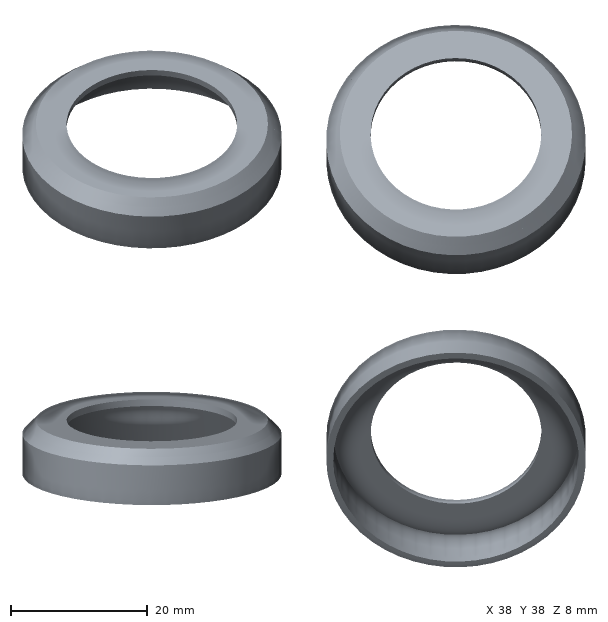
import cadquery as cq

outer_diameter = 38.0
skirt_bore_diameter = 36.0
opening_diameter = 25.0
total_height = 8.0
plate_thickness = 1.0

outer_radius = outer_diameter / 2
bore_radius = skirt_bore_diameter / 2
opening_radius = opening_diameter / 2

skirt_height = total_height - plate_thickness
skirt_wall = outer_radius - bore_radius

bevel_start_height = skirt_height - skirt_wall
plate_top_radius = bore_radius - plate_thickness


def revolve_about_z(profile):
    """Turn a closed (radius, height) outline around the Z axis."""
    return cq.Workplane("XZ").polyline(profile).close().revolve(360, (0, 0, 0), (0, 1, 0))


def make_skirt():
    """Thin straight tube whose bevel takes the whole wall, leaving a sharp top edge at the bore."""
    return revolve_about_z([
        (bore_radius, 0),
        (outer_radius, 0),
        (outer_radius, bevel_start_height),
        (bore_radius, skirt_height),
    ])


def make_plate():
    """Flat washer resting on the sharp edge of the skirt, with a conical rim."""
    return revolve_about_z([
        (opening_radius, skirt_height),
        (bore_radius, skirt_height),
        (plate_top_radius, total_height),
        (opening_radius, total_height),
    ])


skirt = make_skirt()
plate = make_plate()

result = cq.Compound.makeCompound([skirt.val(), plate.val()])